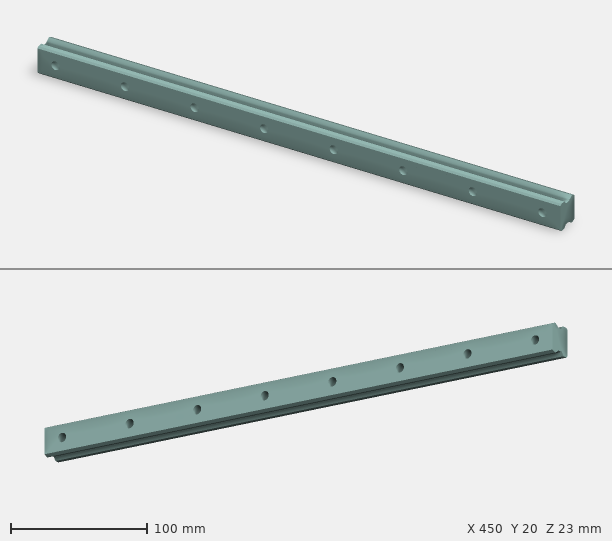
import cadquery as cq

length = 450.0
depth = 20.0
height = 23.0

groove_depth = 2.5
groove_floor_front = -2.2
groove_floor_back = 2.2
groove_break_back = 3.0
groove_break_depth = 2.0
groove_mouth_front = -4.5
groove_mouth_back = 6.0

front_bevel = 1.5
back_bevel_depth = 3.0
back_bevel_height = 1.5

hole_count = 8
hole_pitch = 60.0
hole_diameter = 7.0

half_depth = depth / 2
half_height = height / 2


def make_rail():
    """Extrude the cross-section, symmetric about the XY plane, along X."""
    upper_outline = [
        (-half_depth, half_height - front_bevel),
        (-half_depth + front_bevel, half_height),
        (groove_mouth_front, half_height),
        (groove_floor_front, half_height - groove_depth),
        (groove_floor_back, half_height - groove_depth),
        (groove_break_back, half_height - groove_break_depth),
        (groove_mouth_back, half_height),
        (half_depth - back_bevel_depth, half_height),
        (half_depth, half_height - back_bevel_height),
    ]
    lower_outline = [(y, -z) for y, z in reversed(upper_outline)]
    section = cq.Workplane("YZ").polyline(upper_outline + lower_outline).close()
    return section.extrude(length / 2, both=True)


def make_mounting_holes():
    """Equally spaced cylinders along X, running through the full depth."""
    return (
        cq.Workplane("XZ")
        .rarray(hole_pitch, 4.5, hole_count, 1)
        .circle(hole_diameter / 2)
        .extrude(depth, both=True)
    )


result = make_rail().cut(make_mounting_holes())